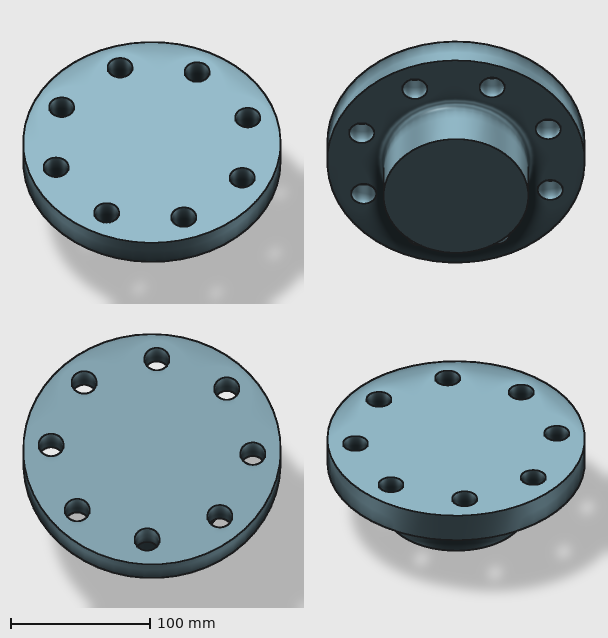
import cadquery as cq

flange_diameter = 185.0
flange_thickness = 22.0
total_height = 62.0
hub_diameter = 104.0
hub_fillet_radius = 6.0
bolt_circle_diameter = 145.0
bolt_hole_diameter = 18.0
bolt_hole_count = 8

hub_height = total_height - flange_thickness
bolt_pitch_angle = 360 / bolt_hole_count


def make_hub_and_flange():
    """Solid hub standing on Z = 0 with the flange on top, joined by a concave fillet."""
    hub = cq.Workplane("XY").circle(hub_diameter / 2).extrude(hub_height)
    flange = (
        cq.Workplane("XY")
        .workplane(offset=hub_height)
        .circle(flange_diameter / 2)
        .extrude(flange_thickness)
    )
    hub_top_edge = cq.selectors.RadiusNthSelector(0)
    return (
        hub.union(flange)
        .faces(cq.selectors.NearestToPointSelector((0, 0, hub_height)))
        .edges(hub_top_edge)
        .fillet(hub_fillet_radius)
    )


def drill_bolt_holes(body):
    """Through holes on the bolt circle, straddling the X and Y axes."""
    return (
        body.faces(">Z")
        .workplane(origin=(0, 0, total_height))
        .polarArray(bolt_circle_diameter / 2, bolt_pitch_angle / 2, 360, bolt_hole_count)
        .hole(bolt_hole_diameter, flange_thickness)
    )


result = drill_bolt_holes(make_hub_and_flange())